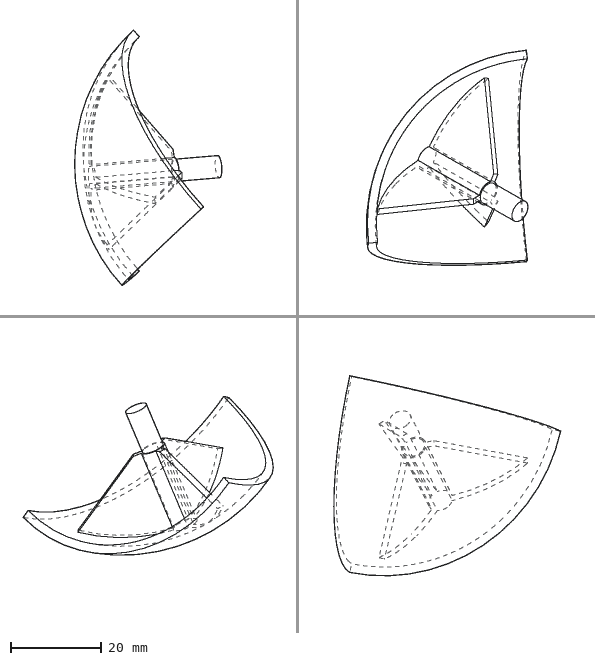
import cadquery as cq
import math

outer_radius = 40.0
wall = 2.0
inner_radius = outer_radius - wall

pin_diameter = 5.0
pin_length = 10.0
overall_depth = 31.45
pin_end_y = overall_depth - outer_radius
rib_top_y = pin_end_y - pin_length

post_diameter = 5.65

rib_count = 3
rib_thickness = 1.45
rib_top_reach = 4.65
rib_slope = 0.67

root_radius = (inner_radius + outer_radius) / 2


def make_octant(radius):
    """Octant of a ball with one corner toward +X and its middle toward -Y."""
    octant = cq.Workplane("XY").sphere(radius).intersect(
        cq.Workplane("XY").box(radius * 2, radius * 2, radius * 2, centered=False)
    )
    corner_tilt = math.degrees(math.acos(1 / math.sqrt(3)))
    octant = octant.rotate((0, 0, 0), (0, 0, 1), -45)
    octant = octant.rotate((0, 0, 0), (0, 1, 0), -corner_tilt)
    octant = octant.rotate((0, 0, 0), (0, 0, 1), 180)
    return octant.rotate((0, 0, 0), (1, 0, 0), 90)


def make_rib(angle):
    """Sloped rib running from the Y axis outward at the given angle."""
    root_y = -outer_radius
    root_reach = rib_top_reach + (rib_top_y - root_y) / rib_slope
    rib = (
        cq.Workplane("XY")
        .polyline([(0, rib_top_y), (rib_top_reach, rib_top_y), (root_reach, root_y), (0, root_y)])
        .close()
        .extrude(rib_thickness / 2, both=True)
    )
    return rib.rotate((0, 0, 0), (0, 1, 0), angle)


def make_round_bar(diameter, start_y, length):
    """Cylinder on the Y axis that runs from start_y toward -Y."""
    return cq.Workplane("XZ", origin=(0, start_y, 0)).circle(diameter / 2).extrude(length)


shell = make_octant(outer_radius).cut(cq.Workplane("XY").sphere(inner_radius))

support = make_round_bar(post_diameter, rib_top_y, outer_radius)
for index in range(rib_count):
    support = support.union(make_rib(index * 360 / rib_count))
support = support.intersect(cq.Workplane("XY").sphere(root_radius))

pin = make_round_bar(pin_diameter, pin_end_y, pin_length)

result = shell.union(support).union(pin)